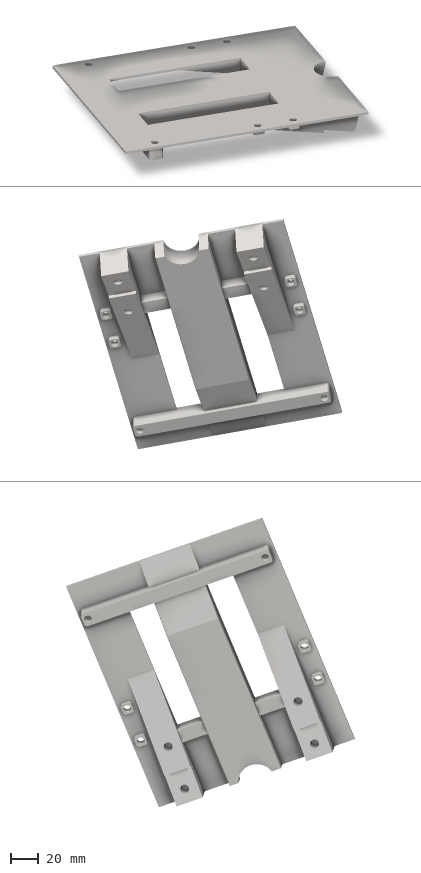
import cadquery as cq
import math

plate_width = 150.0
plate_length = 185.5
plate_thickness = 2.0
total_height = 22.0
back_y = plate_length / 2
front_y = -plate_length / 2
notch_radius = 13.0

slot_width = 20.0
center_rib_width = 39.3
slot_length = 100.2
slot_front_y = -62.7
slot_back_y = slot_front_y + slot_length
slot_center_x = (center_rib_width + slot_width) / 2
foot_center_x = slot_center_x + slot_width

incline = math.radians(13)

center_rib_depth = 15.0
center_rib_fillet = 1.0

bar_width = 10.2
front_bar_depth = 12.0
back_bar_depth = 10.4
corner_radius = 2.0

post_width = 8.2
post_depth = 5.8
screw_diameter = 5.5
screw_x = 67.9
front_screw_y = slot_front_y - bar_width / 2
post_screw_ys = (10.8, 37.8)

heel_length = 24.3
heel_step = 2.5
socket_diameter = 6.5
socket_depth = 14.0
heel_socket_offset = 10.0
sole_socket_offset = 43.4


def box(width, y_start, y_end, depth, center_x=0):
    """Block hanging from the top face of the plate."""
    block = cq.Workplane("XY").box(width, y_end - y_start, depth, centered=(True, False, False))
    return block.translate((center_x, y_start, -depth))


def along_incline(origin, forward, down):
    """(y, z) point offset along a foot's inclined sole and square to it."""
    y, z = origin
    return (
        y - forward * math.cos(incline) - down * math.sin(incline),
        z + forward * math.sin(incline) - down * math.cos(incline),
    )


heel_top = (back_y, -plate_thickness)
heel_height = (total_height - plate_thickness) / math.cos(incline)
heel_bottom = along_incline(heel_top, 0, heel_height)


def side_profile(points, width, center_x):
    """Extrude a (y, z) outline across X."""
    return cq.Workplane("YZ").polyline(points).close().extrude(width / 2, both=True).translate((center_x, 0, 0))


def center_rib():
    rib_back_y = back_y - (center_rib_depth - plate_thickness) * math.tan(incline)
    ramp_length = (center_rib_depth - plate_thickness) / math.tan(incline)
    profile = [
        (back_y, -plate_thickness),
        (rib_back_y, -center_rib_depth),
        (front_y + ramp_length, -center_rib_depth),
        (front_y, -plate_thickness),
    ]
    rib = side_profile(profile, center_rib_width, 0)
    underside = rib.faces("<Z").edges("|Y")
    ramp = rib.faces("<Y").edges("not |X")
    return underside.add(ramp).fillet(center_rib_fillet)


def foot(center_x):
    step_top = along_incline(heel_bottom, heel_length, 0)
    step_bottom = along_incline(heel_bottom, heel_length, heel_step)
    toe_y = step_bottom[0] - (-plate_thickness - step_bottom[1]) / math.tan(incline)
    profile = [heel_top, heel_bottom, step_top, step_bottom, (toe_y, -plate_thickness)]
    return side_profile(profile, slot_width, center_x)


def foot_socket(center_x, forward, down):
    """Blind hole drilled square into the inclined sole."""
    y, z = along_incline(heel_bottom, forward, down)
    axis = cq.Vector(0, math.sin(incline), math.cos(incline))
    return cq.Solid.makeCylinder(socket_diameter / 2, socket_depth, cq.Vector(center_x, y, z), axis)


body = box(plate_width, front_y, back_y, plate_thickness).union(center_rib())

front_bar = box(2 * screw_x + post_width, slot_front_y - bar_width, slot_front_y, front_bar_depth)
body = body.union(front_bar.edges("|Z").fillet(corner_radius))

back_bar_width = 2 * foot_center_x
body = body.union(box(back_bar_width, slot_back_y, slot_back_y + bar_width, back_bar_depth))

for side in (-1, 1):
    body = body.union(foot(side * foot_center_x))
    for y in post_screw_ys:
        post = box(post_width, y - post_width / 2, y + post_width / 2, post_depth, side * screw_x)
        body = body.union(post.edges("|Z").fillet(corner_radius))

for side in (-1, 1):
    body = body.cut(box(slot_width, slot_front_y, slot_back_y, total_height, side * slot_center_x))
    body = body.cut(foot_socket(side * foot_center_x, heel_socket_offset, 0))
    body = body.cut(foot_socket(side * foot_center_x, sole_socket_offset, heel_step))

screw_points = [(side * screw_x, y) for side in (-1, 1) for y in (front_screw_y, *post_screw_ys)]
screw_holes = cq.Workplane("XY").pushPoints(screw_points).circle(screw_diameter / 2).extrude(-total_height)
notch = cq.Workplane("XY").center(0, back_y).circle(notch_radius).extrude(-total_height)

result = body.cut(screw_holes).cut(notch)